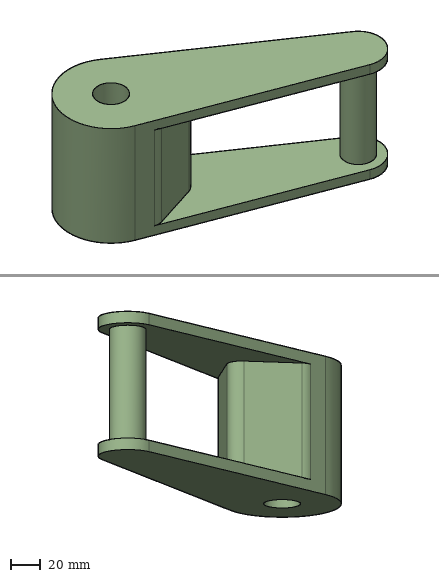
import cadquery as cq
import math

total_length = 235.0
total_height = 96.0
hub_diameter = 80.0
tip_diameter = 40.0
plate_thickness = 8.0
bore_diameter = 25.0
pin_diameter = 25.0
nose_reach = 60.1
nose_half_angle = 45.0
nose_fillet = 10.0

hub_radius = hub_diameter / 2
tip_radius = tip_diameter / 2
axis_spacing = total_length - hub_radius - tip_radius
gap_height = total_height - 2 * plate_thickness

taper_sine = (hub_radius - tip_radius) / axis_spacing
taper_cosine = math.sqrt(1 - taper_sine**2)


def arm_profile(height):
    """Tapered arm running from the hub along +Y, standing on Z = 0."""
    hub_x = hub_radius * taper_cosine
    hub_y = hub_radius * taper_sine
    tip_x = tip_radius * taper_cosine
    tip_y = axis_spacing + tip_radius * taper_sine
    return (
        cq.Workplane("XY")
        .moveTo(hub_x, hub_y)
        .lineTo(tip_x, tip_y)
        .threePointArc((0, axis_spacing + tip_radius), (-tip_x, tip_y))
        .lineTo(-hub_x, hub_y)
        .threePointArc((0, -hub_radius), (hub_x, hub_y))
        .close()
        .extrude(height)
    )


def hub_block():
    """Full-height hub, ending toward the pin in a rounded wedge-shaped nose."""
    wedge_length = nose_reach + hub_diameter
    wedge_half_width = wedge_length * math.tan(math.radians(nose_half_angle))
    wedge = (
        cq.Workplane("XY")
        .moveTo(0, nose_reach)
        .lineTo(wedge_half_width, nose_reach - wedge_length)
        .lineTo(-wedge_half_width, nose_reach - wedge_length)
        .close()
        .extrude(total_height)
    )
    block = arm_profile(total_height).intersect(wedge)
    nose_zone = cq.selectors.BoxSelector(
        (-hub_diameter, hub_radius * taper_sine + nose_fillet / 2, -total_height),
        (hub_diameter, total_length, 2 * total_height),
    )
    return block.edges("|Z").edges(nose_zone).fillet(nose_fillet)


def pin():
    """Round pin joining the two plates at the tip."""
    return (
        cq.Workplane("XY")
        .center(0, axis_spacing)
        .circle(pin_diameter / 2)
        .extrude(total_height)
    )


bottom_plate = arm_profile(plate_thickness)
top_plate = bottom_plate.translate((0, 0, plate_thickness + gap_height))
bore = cq.Workplane("XY").circle(bore_diameter / 2).extrude(total_height)

result = hub_block().union(bottom_plate).union(top_plate).union(pin()).cut(bore)